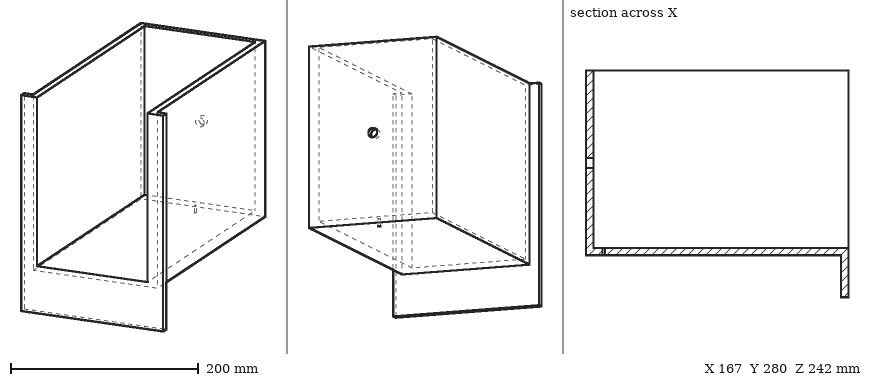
import cadquery as cq

wall = 8.0
flange_width = 167.0
flange_height = 242.0
flange_thickness = 8.0
length = 280.0
box_width = 146.2
box_height = 197.0
back_hole_diameter = 10.0
back_hole_height = 143.0
floor_hole_diameter = 2.5
floor_hole_from_back = 19.0

box_bottom = flange_height - box_height
cavity_width = box_width - 2 * wall


def block(width, depth, height, bottom):
    """Block centred on X, starting at Y = 0, with its underside at the given height."""
    return (
        cq.Workplane("XY", origin=(0, 0, bottom))
        .box(width, depth, height, centered=(True, False, False))
    )


flange = block(flange_width, flange_thickness, flange_height, 0)
box = block(box_width, length, box_height, box_bottom)

cavity = block(cavity_width, length - wall, box_height - wall, box_bottom + wall)

back_hole = (
    cq.Workplane("XZ", origin=(0, length, back_hole_height))
    .circle(back_hole_diameter / 2)
    .extrude(wall)
)

floor_hole = (
    cq.Workplane("XY", origin=(0, length - floor_hole_from_back, box_bottom))
    .circle(floor_hole_diameter / 2)
    .extrude(wall)
)

result = flange.union(box).cut(cavity).cut(back_hole).cut(floor_hole)